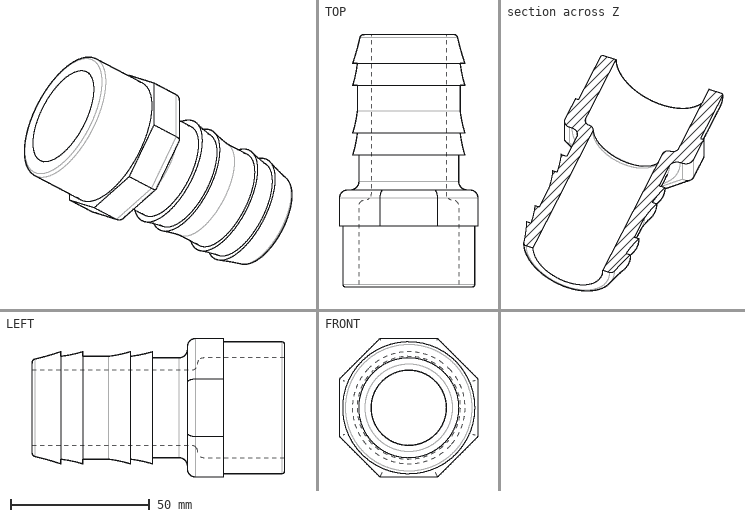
import cadquery as cq
import math

total_length = 91.0

pipe_diameter = 47.6
pipe_length = 21.9
pipe_rim_fillet = 1.0
collar_across_flats = 50.0
collar_sides = 8
collar_fillet = 3.0
collar_end = 35.0

neck_diameter = 36.0
neck_fillet = 3.0
tail_diameter = 37.1
barb_diameter = 40.5
barb_sag = 0.2
rear_barbs_start = 47.5
rear_barbs_end = 63.4
barb_pitch = (rear_barbs_end - rear_barbs_start) / 2
front_barbs_start = 72.6
tip_barb_start = front_barbs_start + barb_pitch
tip_diameter = 34.8
tip_fillet = 1.5

socket_diameter = 36.0
hole_diameter = 27.0
shoulder_radius = (socket_diameter - hole_diameter) / 4
shoulder_start = 29.1


def revolve_about_axis(profile):
    """Turn a closed half-profile (radius along X, length along Y) around the Y axis."""
    return profile.close().revolve(360, (0, 0, 0), (0, 1, 0))


def cylinder(diameter, start, end):
    profile = cq.Workplane("XY").moveTo(0, start).lineTo(diameter / 2, start).lineTo(diameter / 2, end)
    return revolve_about_axis(profile.lineTo(0, end))


def barb(start, end, small_diameter):
    """Barb with a square face at start and a slightly hollow flank narrowing to end."""
    large_radius = barb_diameter / 2
    small_radius = small_diameter / 2
    middle = ((large_radius + small_radius) / 2 - barb_sag, (start + end) / 2)
    profile = (
        cq.Workplane("XY")
        .moveTo(0, start)
        .lineTo(large_radius, start)
        .threePointArc(middle, (small_radius, end))
        .lineTo(0, end)
    )
    return revolve_about_axis(profile)


def make_pipe():
    return cylinder(pipe_diameter, 0, pipe_length).faces("<Y").edges().fillet(pipe_rim_fillet)


def make_collar():
    """Octagon with flats square to X and Z, rounded on its tail-side edges."""
    half_side_angle = 180 / collar_sides
    across_corners = collar_across_flats / math.cos(math.radians(half_side_angle))
    collar = (
        cq.Workplane("XZ", origin=(0, pipe_length, 0))
        .transformed(rotate=(0, 0, half_side_angle))
        .polygon(collar_sides, across_corners)
        .extrude(pipe_length - collar_end)
    )
    return collar.faces(">Y").edges().fillet(collar_fillet)


def make_neck():
    """Neck that flares onto the collar through a quarter-round fillet."""
    neck_radius = neck_diameter / 2
    flare_end = collar_end + neck_fillet
    flare_inset = neck_fillet * (1 - math.sqrt(0.5))
    profile = (
        cq.Workplane("XY")
        .moveTo(0, collar_end)
        .lineTo(neck_radius + neck_fillet, collar_end)
        .threePointArc((neck_radius + flare_inset, collar_end + flare_inset), (neck_radius, flare_end))
        .lineTo(neck_radius, rear_barbs_start)
        .lineTo(0, rear_barbs_start)
    )
    return revolve_about_axis(profile)


def make_tail():
    tail = cylinder(tail_diameter, rear_barbs_end, front_barbs_start)
    for start in (rear_barbs_start, rear_barbs_start + barb_pitch, front_barbs_start):
        tail = tail.union(barb(start, start + barb_pitch, tail_diameter))
    tip = barb(tip_barb_start, total_length, tip_diameter).faces(">Y").edges().fillet(tip_fillet)
    return tail.union(tip)


def make_bore():
    """Bore whose shoulder is a concave quarter-round followed by a convex one."""
    socket_radius = socket_diameter / 2
    hole_radius = hole_diameter / 2
    shoulder_middle_radius = socket_radius - shoulder_radius
    shoulder_middle = shoulder_start + shoulder_radius
    shoulder_end = shoulder_middle + shoulder_radius
    profile = (
        cq.Workplane("XY")
        .lineTo(socket_radius, 0)
        .lineTo(socket_radius, shoulder_start)
        .tangentArcPoint((shoulder_middle_radius, shoulder_middle), relative=False)
        .radiusArc((hole_radius, shoulder_end), shoulder_radius)
        .lineTo(hole_radius, total_length)
        .lineTo(0, total_length)
    )
    return revolve_about_axis(profile)


body = make_pipe().union(make_collar()).union(make_neck()).union(make_tail())
result = body.cut(make_bore())